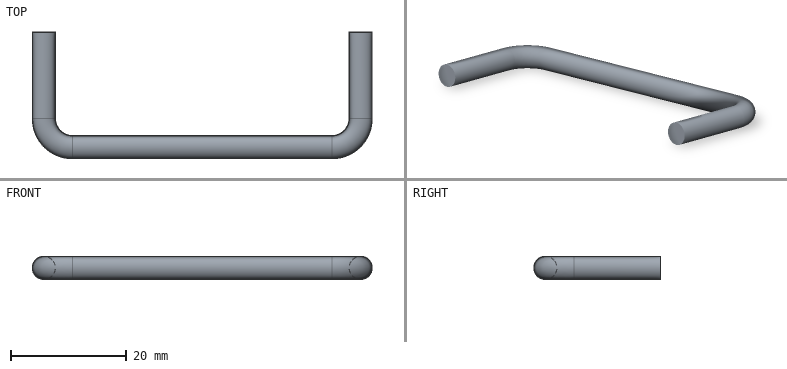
import cadquery as cq

rod_diameter = 4.0
leg_spacing = 55.0
overall_depth = 22.0
bend_radius = 5.0

rod_radius = rod_diameter / 2
leg_x = leg_spacing / 2
grip_y = rod_radius - overall_depth
grip_end_x = leg_x - bend_radius
bend_start_y = grip_y + bend_radius


def handle_centreline():
    """U-shaped path in the XY plane: leg, bend, grip, bend, leg."""
    return (
        cq.Workplane("XY")
        .moveTo(-leg_x, 0)
        .lineTo(-leg_x, bend_start_y)
        .tangentArcPoint((-grip_end_x, grip_y), relative=False)
        .lineTo(grip_end_x, grip_y)
        .tangentArcPoint((leg_x, bend_start_y), relative=False)
        .lineTo(leg_x, 0)
    )


result = (
    cq.Workplane("XZ")
    .center(-leg_x, 0)
    .circle(rod_radius)
    .sweep(handle_centreline())
)